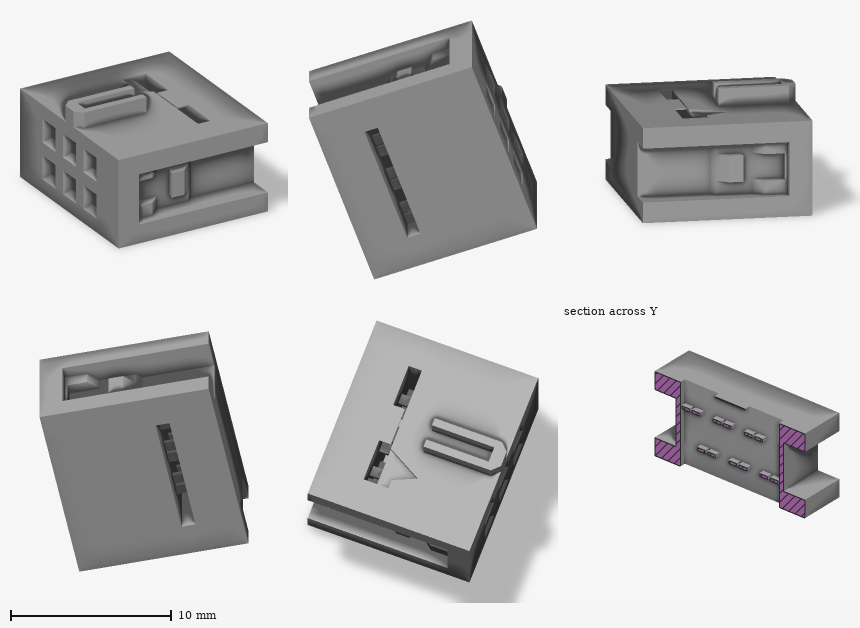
import cadquery as cq

WIDTH = 12.2
LENGTH = 10.8
BODY_HEIGHT = 6.1
TOTAL_HEIGHT = 7.2

PIN_PITCH = 2.54
PIN_COLUMNS = (-1, 0, 1)
PIN_ROWS = (-0.5, 0.5)
MOUTH_SIZE = 1.63
THROAT_SIZE = 0.83
MOUTH_DEPTH = (MOUTH_SIZE - THROAT_SIZE) / 2

KEY_WIDTH = 2.0
KEY_LENGTH = 4.99
KEY_LEG = KEY_WIDTH / 4
KEY_CHAMFER = KEY_WIDTH / 4
KEY_WEB_END = 0.83

CHANNEL_HEIGHT = 3.46
LATCH_HEIGHT = 1.71
CHANNEL_FRONT = 1.48
BACK_DEPTH = 1.72
MIDDLE_DEPTH = 1.39
SHALLOW_DEPTH = 0.73
BACK_RAMP_START = 6.22
BARB_CREST = 5.18
BARB_FRONT = 4.26
BARB_UNDERCUT = 0.15
FRONT_RAMP_START = 3.59
FRONT_RAMP_END = 2.88
LATCH_POCKET_FRONT = 1.62

SLOT_WIDTH = 7.99
SLOT_FRONT = 6.98
SLOT_BACK = 7.86
TONGUE_WIDTH = 2.49
TONGUE_FRONT = 7.08
TONGUE_THICKNESS = 0.1

FORK_WIDTH = 1.5
FORK_GAP = 0.18
FORK_THICKNESS = 0.25
FORK_EMBED = 0.25
FORK_TIP = 7.81
FORK_ROOT = SLOT_FRONT - FORK_EMBED
FORK_OFFSET = PIN_PITCH / 4

ARROW_DEPTH = 0.2
ARROW_SHOULDER_X = -3.43
ARROW_SHOULDER_Y = 6.21
ARROW_TIP = (-2.76, 4.72)
ARROW_RIGHT_X = -1.51


def block(x_min, x_max, y_min, y_max, z_min, z_max):
    """Axis-aligned box given by its limits."""
    size = (x_max - x_min, y_max - y_min, z_max - z_min)
    return cq.Workplane("XY").box(*size, centered=False).translate((x_min, y_min, z_min))


def prism(points, z_min, z_max):
    """Plan outline extruded between two heights."""
    return cq.Workplane("XY").workplane(offset=z_min).polyline(points).close().extrude(z_max - z_min)


def pin_mouths():
    """Square funnels leading into the six pin positions."""
    centres = [
        (column * PIN_PITCH, BODY_HEIGHT / 2 + row * PIN_PITCH)
        for column in PIN_COLUMNS
        for row in PIN_ROWS
    ]
    mouths = cq.Workplane("XY")
    for x, z in centres:
        funnel = (
            cq.Workplane("XZ", origin=(x, 0, z))
            .rect(MOUTH_SIZE, MOUTH_SIZE)
            .workplane(offset=-MOUTH_DEPTH)
            .rect(THROAT_SIZE, THROAT_SIZE)
            .loft()
        )
        mouths = mouths.add(funnel)
    return mouths.combine()


def polarising_key():
    """U-shaped key, open towards the back, with chamfered front corners."""
    half = KEY_WIDTH / 2
    inner = half - KEY_LEG
    nose = half - KEY_CHAMFER
    outline = [
        (-nose, 0), (nose, 0), (half, KEY_CHAMFER), (half, KEY_LENGTH),
        (inner, KEY_LENGTH), (inner, KEY_WEB_END),
        (-inner, KEY_WEB_END), (-inner, KEY_LENGTH),
        (-half, KEY_LENGTH), (-half, KEY_CHAMFER),
    ]
    return prism(outline, BODY_HEIGHT, TOTAL_HEIGHT)


def side_channel():
    """Material removed from the -X side: stepped channel with an undercut latch barb at mid-height."""
    ramp_run_per_depth = (BACK_RAMP_START - BARB_CREST) / (BACK_DEPTH - SHALLOW_DEPTH)
    middle_start = BACK_RAMP_START - ramp_run_per_depth * (BACK_DEPTH - MIDDLE_DEPTH)

    back_end = [(0, LENGTH), (BACK_DEPTH, LENGTH), (BACK_DEPTH, BACK_RAMP_START)]
    front_end = [(SHALLOW_DEPTH, CHANNEL_FRONT), (0, CHANNEL_FRONT)]
    outer_steps = [
        (MIDDLE_DEPTH, middle_start),
        (MIDDLE_DEPTH, FRONT_RAMP_START),
        (SHALLOW_DEPTH, FRONT_RAMP_END),
    ]
    latch_steps = [
        (SHALLOW_DEPTH, BARB_CREST),
        (SHALLOW_DEPTH, BARB_FRONT),
        (MIDDLE_DEPTH, BARB_FRONT + BARB_UNDERCUT),
        (MIDDLE_DEPTH, LATCH_POCKET_FRONT),
        (SHALLOW_DEPTH, LATCH_POCKET_FRONT),
    ]

    def band(steps, z_min, z_max):
        points = [(depth - WIDTH / 2, y) for depth, y in back_end + steps + front_end]
        return prism(points, z_min, z_max)

    middle = BODY_HEIGHT / 2
    channel_bottom = middle - CHANNEL_HEIGHT / 2
    channel_top = middle + CHANNEL_HEIGHT / 2
    latch_bottom = middle - LATCH_HEIGHT / 2
    latch_top = middle + LATCH_HEIGHT / 2
    lower = band(outer_steps, channel_bottom, latch_bottom)
    latch = band(latch_steps, latch_bottom, latch_top)
    upper = band(outer_steps, latch_top, channel_top)
    return lower.union(latch).union(upper)


def wire_slot():
    """Through slot narrowed at the top by a thin tongue in the middle of its back wall."""
    slot = block(-SLOT_WIDTH / 2, SLOT_WIDTH / 2, SLOT_FRONT, SLOT_BACK, 0, BODY_HEIGHT)
    tongue_bottom = BODY_HEIGHT - TONGUE_THICKNESS
    tongue = block(-TONGUE_WIDTH / 2, TONGUE_WIDTH / 2, TONGUE_FRONT, SLOT_BACK, tongue_bottom, BODY_HEIGHT)
    return slot.cut(tongue)


def arrow_recess():
    """Shallow pin-one arrow joining the front edge of the wire slot."""
    left = -SLOT_WIDTH / 2
    outline = [
        (left, SLOT_FRONT),
        (left, ARROW_SHOULDER_Y),
        (ARROW_SHOULDER_X, ARROW_SHOULDER_Y),
        ARROW_TIP,
        (ARROW_RIGHT_X, SLOT_FRONT),
    ]
    return prism(outline, BODY_HEIGHT - ARROW_DEPTH, BODY_HEIGHT)


def contact_forks():
    """Two-pronged blades, one per pin; the two rows are shifted in opposite directions."""
    forks = cq.Workplane("XY")
    for row in PIN_ROWS:
        z_min = BODY_HEIGHT / 2 + row * PIN_PITCH - FORK_THICKNESS / 2
        z_max = z_min + FORK_THICKNESS
        shift = -FORK_OFFSET if row > 0 else FORK_OFFSET
        for column in PIN_COLUMNS:
            x = column * PIN_PITCH + shift
            left_edge = x - FORK_WIDTH / 2
            right_edge = x + FORK_WIDTH / 2
            left_prong = block(left_edge, x - FORK_GAP / 2, FORK_ROOT, FORK_TIP, z_min, z_max)
            right_prong = block(x + FORK_GAP / 2, right_edge, FORK_ROOT, FORK_TIP, z_min, z_max)
            forks = forks.add(left_prong).add(right_prong)
    return forks.combine()


body = block(-WIDTH / 2, WIDTH / 2, 0, LENGTH, 0, BODY_HEIGHT)
left_channel = side_channel()
result = (
    body.union(polarising_key())
    .cut(pin_mouths())
    .cut(left_channel)
    .cut(left_channel.mirror("YZ"))
    .cut(wire_slot())
    .cut(arrow_recess())
    .union(contact_forks())
)